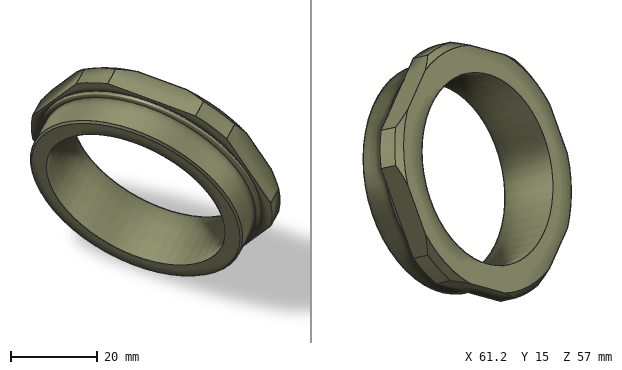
import cadquery as cq
import math

across_flats = 57.0
corner_diameter = 61.2
flange_thickness = 6.0
flange_chamfer = 1.5

total_length = 15.0
sleeve_diameter = 54.0
sleeve_chamfer = 0.5
bore_diameter = 45.45
ring_diameter = 56.3
ring_width = 1.5


def cylinder(diameter, length):
    """Cylinder from the back face (Y = 0) toward -Y."""
    return cq.Workplane("XZ").circle(diameter / 2).extrude(length)


def hex_flange():
    """Hexagon with two flats facing up and down, rounded and chamfered at its corners."""
    across_corners = across_flats / math.cos(math.pi / 6)
    hexagon = cq.Workplane("XZ").polygon(6, across_corners).extrude(flange_thickness)
    turned_blank = cylinder(corner_diameter, flange_thickness).faces(">Y").chamfer(flange_chamfer)
    return hexagon.intersect(turned_blank)


def sleeve():
    return cylinder(sleeve_diameter, total_length).faces("<Y").chamfer(sleeve_chamfer)


def sealing_ring():
    """Round-section bead seated on the sleeve, with the gap to the flange filled in."""
    bore_radius = bore_diameter / 2
    sleeve_radius = sleeve_diameter / 2
    ring_radius = ring_diameter / 2
    section_radius = ring_width / 2
    center_radius = ring_radius - section_radius
    back = -flange_thickness
    center_y = back - section_radius
    seat_y = center_y - math.sqrt(section_radius**2 - (center_radius - sleeve_radius) ** 2)
    return (
        cq.Workplane("XY")
        .moveTo(bore_radius, back)
        .lineTo(center_radius, back)
        .threePointArc((ring_radius, center_y), (sleeve_radius, seat_y))
        .lineTo(bore_radius, seat_y)
        .close()
        .revolve(360, (0, 0, 0), (0, 1, 0))
    )


result = hex_flange().union(sleeve()).union(sealing_ring()).cut(cylinder(bore_diameter, total_length))